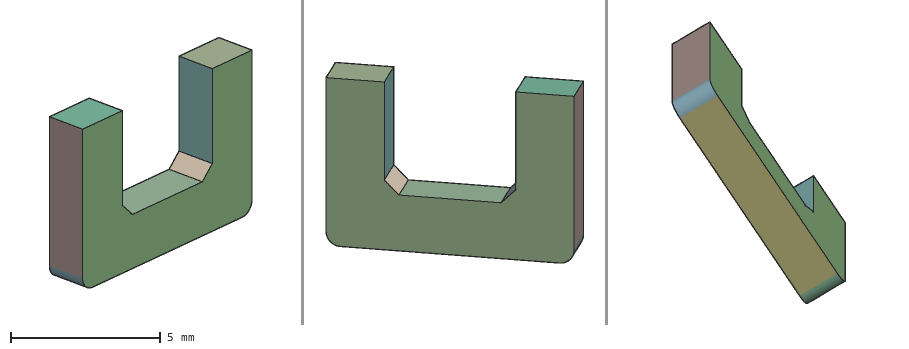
import cadquery as cq

thickness = 1.5
width = 8.5
height = 6.0
leg_width = 2.0
base_height = 2.0
outer_corner_radius = 0.5
inner_corner_chamfer = 0.5

slot_width = width - 2 * leg_width
slot_depth = height - base_height


def make_plate():
    """Upright plate with its two bottom corners rounded."""
    plate = cq.Workplane("XY").box(thickness, width, height, centered=(True, True, False))
    return plate.faces("<Z").edges("|X").fillet(outer_corner_radius)


def make_slot():
    """Slot between the legs, open at the top, with its two floor corners chamfered."""
    slot = (
        cq.Workplane("XY")
        .workplane(offset=base_height)
        .box(thickness, slot_width, slot_depth, centered=(True, True, False))
    )
    return slot.faces("<Z").edges("|X").chamfer(inner_corner_chamfer)


result = make_plate().cut(make_slot())